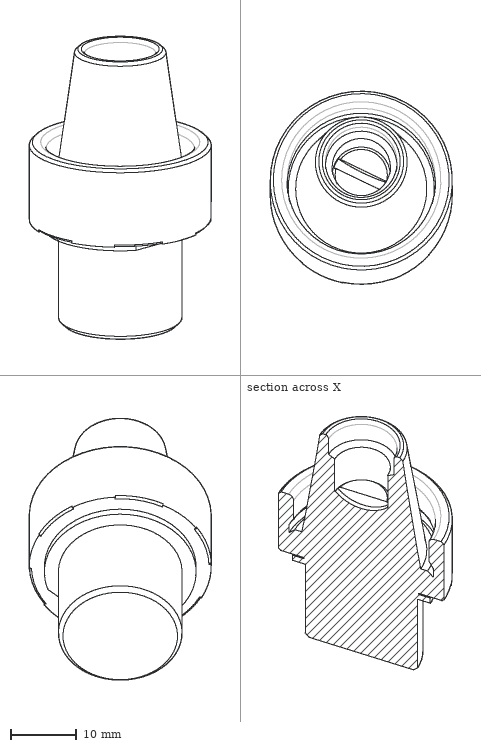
import cadquery as cq
import math

TOTAL_HEIGHT = 44.0
FLANGE_BOTTOM = 15.2
FLANGE_TOP = 16.35
NUT_BOTTOM = 16.5
NUT_TOP = 29.0
COLLAR_TOP = 21.9

SHANK_DIA = 19.0
SHANK_CHAMFER = 0.7
FLANGE_DIA = 23.3
FLANGE_FLAT_OFFSET = 10.08
NECK_DIA = 19.4

NUT_DIA = 28.0
NUT_CHAMFER = 0.5
LIP_DIA = 22.8
MOUTH_DIA = 24.45
MOUTH_DEPTH = 1.0
LIP_UNDERSIDE = 24.0
LIP_CONE_HEIGHT = 1.3
MARK_COUNT = 6
MARK_WIDTH = 7.5
MARK_CHAMFER = 0.35

COLLAR_DIA = 24.3
COLLAR_FACE_DIA = 22.45

NOSE_BASE_DIA = 20.15
NOSE_HALF_ANGLE = 8.0
NOSE_CHAMFER = 0.55

BORE_DIA = 11.0
BORE_MOUTH_DIA = 11.95
BORE_MOUTH_DEPTH = 0.7
BORE_DEPTH = 3.95
THREAD_DIA = 8.95
FUNNEL_SLOPE = 30.0

SCREW_TOP = 33.0
SCREW_BOTTOM = 28.6
SCREW_CHAMFER_DIA = 8.0
SLOT_WIDTH = 1.6
SLOT_DEPTH = 2.25
SLOT_CUTTER_RADIUS = 6.0

OVERLAP = 0.45


def revolve_profile(profile):
    """Turn an XZ half profile about the Z axis."""
    return profile.close().revolve(360, (0, 0, 0), (0, 1, 0))


def mouth_radius(mouth_dia, bore_dia, depth):
    """Radius of the arc that runs from the mouth edge into the straight bore wall."""
    width = (mouth_dia - bore_dia) / 2
    return (width**2 + depth**2) / (2 * width)


def make_shank():
    shank = cq.Workplane("XY").circle(SHANK_DIA / 2).extrude(FLANGE_BOTTOM)
    return shank.faces("<Z").chamfer(SHANK_CHAMFER)


def make_flange():
    """Round flange with one flat facing +X, and the neck that carries the nut."""
    flange = (
        cq.Workplane("XY", origin=(0, 0, FLANGE_BOTTOM))
        .circle(FLANGE_DIA / 2)
        .extrude(FLANGE_TOP - FLANGE_BOTTOM)
    )
    flat_cut = (
        cq.Workplane("XY", origin=(FLANGE_FLAT_OFFSET, 0, FLANGE_BOTTOM))
        .rect(2 * FLANGE_DIA, 2 * FLANGE_DIA)
        .extrude(FLANGE_TOP - FLANGE_BOTTOM)
        .translate((FLANGE_DIA, 0, 0))
    )
    neck = (
        cq.Workplane("XY", origin=(0, 0, FLANGE_BOTTOM))
        .circle(NECK_DIA / 2)
        .extrude(NUT_BOTTOM - FLANGE_BOTTOM)
    )
    return flange.cut(flat_cut).union(neck)


def make_nut():
    """Nut and collar in one body, open at the top behind an inward lip."""
    collar_chamfer = (COLLAR_DIA - COLLAR_FACE_DIA) / 2
    profile = (
        cq.Workplane("XZ")
        .moveTo(0, NUT_BOTTOM)
        .lineTo(NUT_DIA / 2, NUT_BOTTOM)
        .lineTo(NUT_DIA / 2, NUT_TOP - NUT_CHAMFER)
        .lineTo(NUT_DIA / 2 - NUT_CHAMFER, NUT_TOP)
        .lineTo(MOUTH_DIA / 2, NUT_TOP)
        .radiusArc(
            (LIP_DIA / 2, NUT_TOP - MOUTH_DEPTH),
            -mouth_radius(MOUTH_DIA, LIP_DIA, MOUTH_DEPTH),
        )
        .lineTo(LIP_DIA / 2, LIP_UNDERSIDE)
        .lineTo(COLLAR_DIA / 2, LIP_UNDERSIDE - LIP_CONE_HEIGHT)
        .lineTo(COLLAR_DIA / 2, COLLAR_TOP - collar_chamfer)
        .lineTo(COLLAR_FACE_DIA / 2, COLLAR_TOP)
        .lineTo(0, COLLAR_TOP)
    )
    return revolve_profile(profile)


def make_nut_marks():
    """Short chamfered stretches spaced around the lower edge of the nut."""
    rim = NUT_DIA / 2
    edge_ring = revolve_profile(
        cq.Workplane("XZ")
        .moveTo(rim - MARK_CHAMFER, NUT_BOTTOM)
        .lineTo(rim, NUT_BOTTOM)
        .lineTo(rim, NUT_BOTTOM + MARK_CHAMFER)
    )
    windows = (
        cq.Workplane("XY", origin=(0, 0, NUT_BOTTOM))
        .polarArray(rim, 90, 360, MARK_COUNT)
        .rect(rim, MARK_WIDTH)
        .extrude(MARK_CHAMFER)
    )
    return edge_ring.intersect(windows)


def make_nose():
    """Tapered nose with its rounded bore mouth, funnel and blind screw hole."""
    nose_height = TOTAL_HEIGHT - COLLAR_TOP
    taper = math.tan(math.radians(NOSE_HALF_ANGLE))
    rim_height = TOTAL_HEIGHT - NOSE_CHAMFER
    rim_radius = NOSE_BASE_DIA / 2 - (nose_height - NOSE_CHAMFER) * taper
    bore_bottom = TOTAL_HEIGHT - BORE_DEPTH
    funnel_height = (BORE_DIA - THREAD_DIA) / 2 * math.tan(math.radians(FUNNEL_SLOPE))
    profile = (
        cq.Workplane("XZ")
        .moveTo(0, COLLAR_TOP - OVERLAP)
        .lineTo(NOSE_BASE_DIA / 2, COLLAR_TOP - OVERLAP)
        .lineTo(NOSE_BASE_DIA / 2, COLLAR_TOP)
        .lineTo(rim_radius, rim_height)
        .lineTo(rim_radius - NOSE_CHAMFER, TOTAL_HEIGHT)
        .lineTo(BORE_MOUTH_DIA / 2, TOTAL_HEIGHT)
        .radiusArc(
            (BORE_DIA / 2, TOTAL_HEIGHT - BORE_MOUTH_DEPTH),
            -mouth_radius(BORE_MOUTH_DIA, BORE_DIA, BORE_MOUTH_DEPTH),
        )
        .lineTo(BORE_DIA / 2, bore_bottom)
        .lineTo(THREAD_DIA / 2, bore_bottom - funnel_height)
        .lineTo(THREAD_DIA / 2, SCREW_BOTTOM)
        .lineTo(0, SCREW_BOTTOM)
    )
    return revolve_profile(profile)


def make_set_screw():
    """Chamfered screw filling the hole, with a slot floor curved about the X axis."""
    screw_chamfer = (THREAD_DIA - SCREW_CHAMFER_DIA) / 2
    screw = (
        cq.Workplane("XY", origin=(0, 0, SCREW_BOTTOM))
        .circle(THREAD_DIA / 2)
        .extrude(SCREW_TOP - SCREW_BOTTOM)
        .faces(">Z")
        .chamfer(screw_chamfer)
    )
    cutter_height = SCREW_TOP - SLOT_DEPTH + SLOT_CUTTER_RADIUS
    slot = (
        cq.Workplane("YZ", origin=(-SLOT_WIDTH / 2, 0, cutter_height))
        .circle(SLOT_CUTTER_RADIUS)
        .extrude(SLOT_WIDTH)
    )
    return screw.cut(slot)


result = (
    make_shank()
    .union(make_flange())
    .union(make_nut())
    .union(make_nose())
    .union(make_set_screw())
    .cut(make_nut_marks())
)